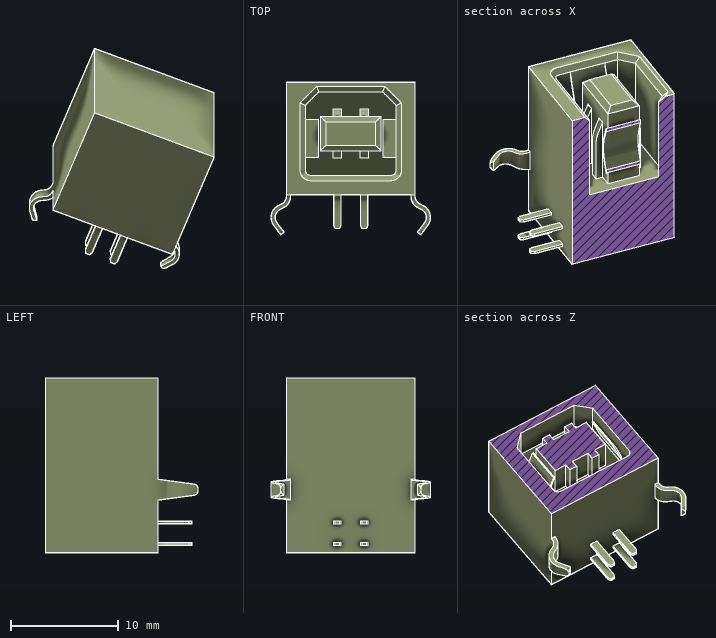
import cadquery as cq
import math

BODY_WIDTH = 12.0
BODY_DEPTH = 10.5
BODY_HEIGHT = 16.3

SOCKET_WIDTH = 8.45
SOCKET_LENGTH = 7.78
SOCKET_FLOOR_Z = 7.4
SOCKET_CENTER_Y = 5.7
SOCKET_BEVEL = 1.25
SOCKET_CORNER_RADIUS = 0.5
LEAD_IN = 0.5

TONGUE_WIDTH = 5.65
TONGUE_LENGTH = 3.2
TONGUE_CHAMFER = 0.5
TONGUE_TOP_Z = BODY_HEIGHT - LEAD_IN

CONTACT_PITCH = 2.5
CONTACT_WIDTH = 0.78
CONTACT_START_Z = 13.6
CONTACT_RAMP_RISE = 0.42
CONTACT_RISE = 0.69
CONTACT_RAMP_ANGLE = 23.5

LEAF_WIDTH = 3.54
LEAF_CENTER_Y = 5.25
LEAF_THICKNESS = 0.15
LEAF_RAMP_RISE = 1.02
LEAF_RISE = 1.22
LEAF_RAMP_ANGLE = 20.0

PIN_WIDTH = 0.7
PIN_THICKNESS = 0.25
PIN_LENGTH = 3.15
PIN_TIP_INSET = 0.15
PIN_TIP_LENGTH = 0.28
PIN_ROWS_Z = (0.84, 2.84)

CLIP_THICKNESS = 0.4
CLIP_OVERHANG = 1.43
CLIP_REACH = 3.72
CLIP_ROOT_LENGTH = 0.13
CLIP_BEND_ANGLE = 63.0
CLIP_FIRST_RADIUS = 1.0
CLIP_LINK_LENGTH = 0.36
CLIP_TAIL_ANGLE = 37.0
CLIP_CENTER_Z = 5.89
CLIP_ROOT_WIDTH = 1.96
CLIP_TIP_WIDTH = 0.96
CLIP_TIP_RADIUS = 0.45


def socket_outline(plane_z, offset):
    """Socket section with two bevelled and two rounded corners, grown outward by offset."""
    half_width = SOCKET_WIDTH / 2 + offset
    top = SOCKET_CENTER_Y + SOCKET_LENGTH / 2 + offset
    bottom = SOCKET_CENTER_Y - SOCKET_LENGTH / 2 - offset
    bevel = SOCKET_BEVEL + offset * (2 - math.sqrt(2))
    radius = SOCKET_CORNER_RADIUS + offset
    return (
        cq.Workplane("XY", origin=(0, 0, plane_z))
        .moveTo(-half_width + radius, bottom)
        .lineTo(half_width - radius, bottom)
        .radiusArc((half_width, bottom + radius), -radius)
        .lineTo(half_width, top - bevel)
        .lineTo(half_width - bevel, top)
        .lineTo(-half_width + bevel, top)
        .lineTo(-half_width, top - bevel)
        .lineTo(-half_width, bottom + radius)
        .radiusArc((-half_width + radius, bottom), -radius)
        .close()
    )


def make_shell():
    shell = cq.Workplane("XY").box(BODY_WIDTH, BODY_DEPTH, BODY_HEIGHT, centered=(True, False, False))
    socket = socket_outline(SOCKET_FLOOR_Z, 0).extrude(BODY_HEIGHT - SOCKET_FLOOR_Z)
    lower_wire = socket_outline(BODY_HEIGHT - LEAD_IN, 0).wire().val()
    upper_wire = socket_outline(BODY_HEIGHT, LEAD_IN).val()
    lead_in = cq.Solid.makeLoft([lower_wire, upper_wire], True)
    return shell.cut(socket).cut(cq.Workplane(lead_in))


def make_tongue():
    return (
        cq.Workplane("XY", origin=(0, SOCKET_CENTER_Y, SOCKET_FLOOR_Z))
        .rect(TONGUE_WIDTH, TONGUE_LENGTH)
        .extrude(TONGUE_TOP_Z - SOCKET_FLOOR_Z)
        .faces(">Z")
        .edges()
        .chamfer(TONGUE_CHAMFER)
    )


def bend_drops(ramp_rise, total_rise, ramp_angle):
    """Heights lost along a straight ramp and along the tangent turning it vertical, and its radius."""
    angle = math.radians(ramp_angle)
    ramp_drop = ramp_rise / math.tan(angle)
    radius = (total_rise - ramp_rise) / (1 - math.cos(angle))
    return ramp_drop, radius * math.sin(angle), radius


def make_contact(x, side):
    """Contact on the tongue face at side -1 (front) or +1 (rear): a ramp that rounds into a flat."""
    face_y = SOCKET_CENTER_Y + side * TONGUE_LENGTH / 2
    outer_y = face_y + side * CONTACT_RISE
    ramp_drop, nose_drop, nose_radius = bend_drops(CONTACT_RAMP_RISE, CONTACT_RISE, CONTACT_RAMP_ANGLE)
    ramp_end_z = CONTACT_START_Z - ramp_drop
    return (
        cq.Workplane("YZ", origin=(x - CONTACT_WIDTH / 2, 0, 0))
        .moveTo(face_y, CONTACT_START_Z)
        .lineTo(face_y + side * CONTACT_RAMP_RISE, ramp_end_z)
        .radiusArc((outer_y, ramp_end_z - nose_drop), side * nose_radius)
        .lineTo(outer_y, SOCKET_FLOOR_Z)
        .lineTo(SOCKET_CENTER_Y, SOCKET_FLOOR_Z)
        .lineTo(SOCKET_CENTER_Y, CONTACT_START_Z)
        .close()
        .extrude(CONTACT_WIDTH)
    )


def make_leaf(side):
    """Leaf spring on the side wall -1 or +1: it bows into the socket and returns to the wall."""
    wall_x = side * SOCKET_WIDTH / 2
    ramp_x = wall_x - side * LEAF_RAMP_RISE
    crest_x = wall_x - side * LEAF_RISE
    back_shift = side * LEAF_THICKNESS
    ramp_drop, nose_drop, _ = bend_drops(LEAF_RAMP_RISE, LEAF_RISE, LEAF_RAMP_ANGLE)
    upper_z = TONGUE_TOP_Z - ramp_drop
    crest_z = upper_z - nose_drop
    lower_z = crest_z - nose_drop
    bottom_z = lower_z - ramp_drop
    return (
        cq.Workplane("XZ", origin=(0, LEAF_CENTER_Y + LEAF_WIDTH / 2, 0))
        .moveTo(wall_x, TONGUE_TOP_Z)
        .lineTo(ramp_x, upper_z)
        .threePointArc((crest_x, crest_z), (ramp_x, lower_z))
        .lineTo(wall_x, bottom_z)
        .lineTo(wall_x + back_shift, bottom_z)
        .lineTo(ramp_x + back_shift, lower_z)
        .threePointArc((crest_x + back_shift, crest_z), (ramp_x + back_shift, upper_z))
        .lineTo(wall_x + back_shift, TONGUE_TOP_Z)
        .close()
        .extrude(LEAF_WIDTH)
    )


def make_pin(x, z):
    half_width = PIN_WIDTH / 2
    half_tip = half_width - PIN_TIP_INSET
    shoulder_y = PIN_TIP_LENGTH - PIN_LENGTH
    return (
        cq.Workplane("XY", origin=(x, 0, z - PIN_THICKNESS / 2))
        .moveTo(-half_width, 0)
        .lineTo(-half_width, shoulder_y)
        .lineTo(-half_tip, -PIN_LENGTH)
        .lineTo(half_tip, -PIN_LENGTH)
        .lineTo(half_width, shoulder_y)
        .lineTo(half_width, 0)
        .close()
        .extrude(PIN_THICKNESS)
    )


def clip_side_profile():
    """Tapered, round-ended width of a clip, extruded across the whole part."""
    return (
        cq.Workplane("YZ", origin=(-BODY_WIDTH, 0, CLIP_CENTER_Z))
        .moveTo(0, -CLIP_ROOT_WIDTH / 2)
        .lineTo(0, CLIP_ROOT_WIDTH / 2)
        .lineTo(-CLIP_REACH, CLIP_TIP_WIDTH / 2)
        .lineTo(-CLIP_REACH, -CLIP_TIP_WIDTH / 2)
        .close()
        .extrude(2 * BODY_WIDTH)
        .edges("<Y and |X")
        .fillet(CLIP_TIP_RADIUS)
    )


def make_left_clip():
    """S-bent strip at the -X side: first bend outward, then back inward into a straight tail."""
    half = CLIP_THICKNESS / 2
    bend = math.radians(CLIP_BEND_ANGLE)
    tail = math.radians(CLIP_TAIL_ANGLE)

    root_x = -BODY_WIDTH / 2 + half
    first_center_x = root_x - CLIP_FIRST_RADIUS
    link_start_x = first_center_x + CLIP_FIRST_RADIUS * math.cos(bend)
    link_start_y = -CLIP_ROOT_LENGTH - CLIP_FIRST_RADIUS * math.sin(bend)
    link_end_x = link_start_x - CLIP_LINK_LENGTH * math.sin(bend)
    link_end_y = link_start_y - CLIP_LINK_LENGTH * math.cos(bend)

    crest_x = -BODY_WIDTH / 2 - CLIP_OVERHANG + half
    second_radius = (link_end_x - crest_x) / (1 - math.cos(bend))
    second_center_x = crest_x + second_radius
    second_center_y = link_end_y - second_radius * math.sin(bend)

    tail_start_y = second_center_y - second_radius * math.sin(tail)
    tail_length = (CLIP_REACH + tail_start_y - half * math.sin(tail)) / math.cos(tail)

    def first_bend(angle, shift):
        radius = CLIP_FIRST_RADIUS + shift
        return (first_center_x + radius * math.cos(angle), -CLIP_ROOT_LENGTH - radius * math.sin(angle))

    def second_bend(angle, shift):
        radius = second_radius - shift
        return (second_center_x - radius * math.cos(angle), second_center_y + radius * math.sin(angle))

    def tail_end(shift):
        start_x, start_y = second_bend(-tail, shift)
        return (start_x + tail_length * math.sin(tail), start_y - tail_length * math.cos(tail))

    strip = (
        cq.Workplane("XY")
        .moveTo(root_x - half, 0)
        .lineTo(*first_bend(0, -half))
        .threePointArc(first_bend(bend / 2, -half), first_bend(bend, -half))
        .lineTo(*second_bend(bend, -half))
        .threePointArc(second_bend(0, -half), second_bend(-tail, -half))
        .lineTo(*tail_end(-half))
        .lineTo(*tail_end(half))
        .lineTo(*second_bend(-tail, half))
        .threePointArc(second_bend(0, half), second_bend(bend, half))
        .lineTo(*first_bend(bend, half))
        .threePointArc(first_bend(bend / 2, half), first_bend(0, half))
        .lineTo(root_x + half, 0)
        .close()
        .extrude(BODY_HEIGHT)
    )
    return strip.intersect(clip_side_profile())


result = make_shell().union(make_tongue())

for side in (-1, 1):
    contact_x = side * CONTACT_PITCH / 2
    result = result.union(make_contact(contact_x, -1))
    result = result.union(make_contact(contact_x, 1))
    result = result.union(make_leaf(side))
    for pin_z in PIN_ROWS_Z:
        result = result.union(make_pin(contact_x, pin_z))

left_clip = make_left_clip()
result = result.union(left_clip).union(left_clip.mirror("YZ"))